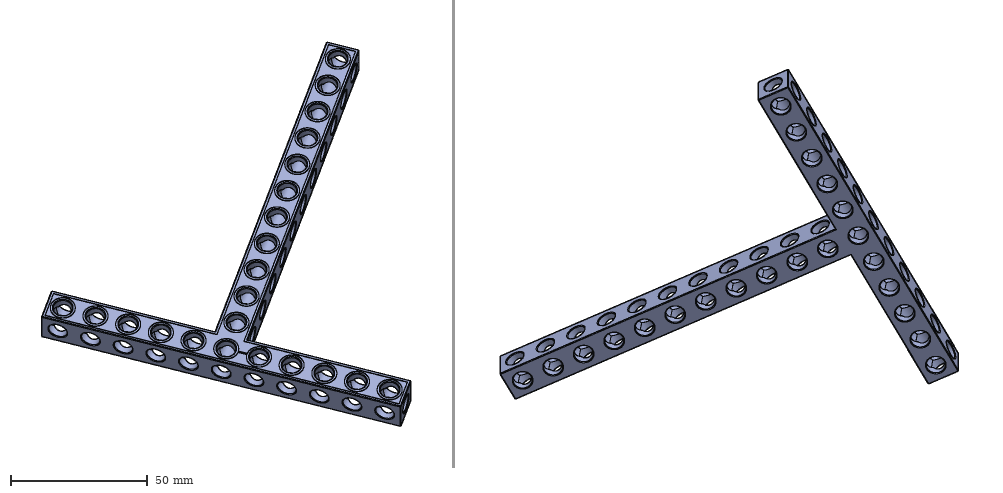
import cadquery as cq

TOTAL_LENGTH = 150.0
STEM_HOLES = 11
BAR_HOLES = 11
RING_DIAMETER = 9.2
RING_WIDTH = 1.08
RIM_WIDTH = 1.1
RECESS_DEPTH = 0.22
RIB_WIDTH = 0.5
BEVEL = 0.3

PITCH = TOTAL_LENGTH / (STEM_HOLES + 1)
HALF_PITCH = PITCH / 2
BAR_LENGTH = BAR_HOLES * PITCH
HOLE_RADIUS = RING_DIAMETER / 2 - RING_WIDTH

BAR_CENTRES = [(i - (BAR_HOLES - 1) / 2) * PITCH for i in range(BAR_HOLES)]
STEM_CENTRES = [i * PITCH for i in range(1, STEM_HOLES + 1)]
VERTICAL_CENTRES = [(x, 0) for x in BAR_CENTRES] + [(0, y) for y in STEM_CENTRES]

ORIGIN = (0, 0, 0)
X_AXIS = (1, 0, 0)
Y_AXIS = (0, 1, 0)


def tee(inset, bottom, height):
    """T-shaped prism whose outline is drawn in by the inset on every side."""
    half_width = HALF_PITCH - inset
    half_bar = BAR_LENGTH / 2 - inset
    stem_end = TOTAL_LENGTH - HALF_PITCH - inset
    outline = [
        (-half_bar, -half_width),
        (half_bar, -half_width),
        (half_bar, half_width),
        (half_width, half_width),
        (half_width, stem_end),
        (-half_width, stem_end),
        (-half_width, half_width),
        (-half_bar, half_width),
    ]
    return cq.Workplane("XY").workplane(offset=bottom).polyline(outline).close().extrude(height)


def top_recess():
    """Shallow cutter for the top face that spares the rim, the hole rings and one rib."""
    floor = HALF_PITCH - RECESS_DEPTH
    floor_plane = cq.Workplane("XY").workplane(offset=floor)
    rings = floor_plane.pushPoints(VERTICAL_CENTRES).circle(RING_DIAMETER / 2).extrude(RECESS_DEPTH)
    rib = floor_plane.center(HALF_PITCH, 0).rect(PITCH, RIB_WIDTH).extrude(RECESS_DEPTH)
    return tee(RIM_WIDTH, floor, RECESS_DEPTH).cut(rings).cut(rib)


def through_hole(length):
    """Cutter along Z, centred on the origin, for a hole bevelled at both mouths."""
    half_length = length / 2
    mouth_radius = HOLE_RADIUS + BEVEL
    profile = [
        (0, -half_length),
        (mouth_radius, -half_length),
        (HOLE_RADIUS, BEVEL - half_length),
        (HOLE_RADIUS, half_length - BEVEL),
        (mouth_radius, half_length),
        (0, half_length),
    ]
    return cq.Workplane("XZ").polyline(profile).close().revolve(360, (0, 0), (0, 1))


def hole_cutters():
    """Cutters for every hole: across each cell both ways, and along both beams."""
    cell_hole = through_hole(PITCH)
    across_bar = cell_hole.rotate(ORIGIN, X_AXIS, 90)
    across_stem = cell_hole.rotate(ORIGIN, Y_AXIS, 90)
    along_bar = through_hole(BAR_LENGTH).rotate(ORIGIN, Y_AXIS, 90)
    along_stem = through_hole(TOTAL_LENGTH).rotate(ORIGIN, X_AXIS, 90)

    cutters = [cell_hole.translate((x, y, 0)) for x, y in VERTICAL_CENTRES]
    cutters += [across_bar.translate((x, 0, 0)) for x in BAR_CENTRES if x != 0]
    cutters += [across_stem.translate((0, y, 0)) for y in STEM_CENTRES]
    cutters.append(along_bar)
    cutters.append(along_stem.translate((0, TOTAL_LENGTH / 2 - HALF_PITCH, 0)))
    return cutters


result = tee(0, -HALF_PITCH, PITCH)
result = result.edges("(not |Z) or <X or >X or >Y").chamfer(BEVEL)

result = result.cut(top_recess())
for cutter in hole_cutters():
    result = result.cut(cutter)